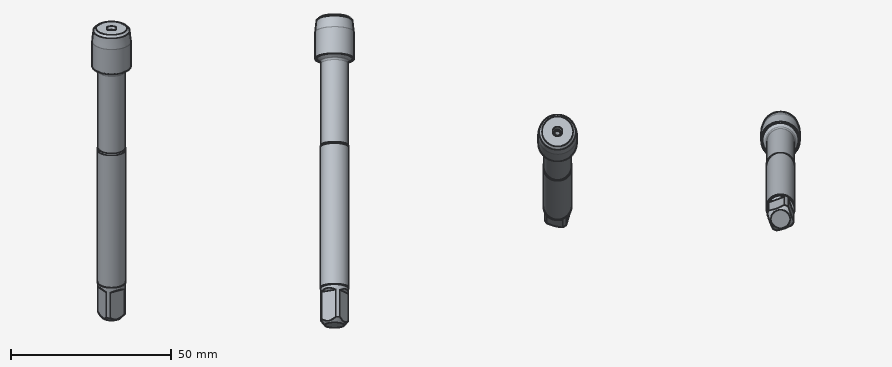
import cadquery as cq
import math

LENGTH = 100.0
HEAD_HEIGHT = 13.1
TAPER_HEIGHT = 4.4
TIP_CHAMFER_HEIGHT = 0.8
NECK_BOTTOM = 58.6
NECK_CONE_HEIGHT = 0.6
SHANK_BOTTOM = 12.2
SHANK_CONE_HEIGHT = 0.2
END_CHAMFER_HEIGHT = 1.5

HEAD_DIAMETER = 12.2
TAPER_DIAMETER = 11.4
TIP_DIAMETER = 9.7
NECK_DIAMETER = 8.6
SHANK_DIAMETER = 9.0
DRIVE_DIAMETER = 8.7
END_DIAMETER = 6.0

HEAD_CONE_HEIGHT = 0.8
NECK_FILLET = 0.9
HEAD_CONE_ANGLE = 50.0

SQUARE_WIDTH = 7.0
FLAT_LENGTH = 10.3
RUNOUT_HEIGHT = 0.7

HOLE_DIAMETER = 2.0
COUNTERSINK_DIAMETER = 3.1
COUNTERSINK_ANGLE = 60.0
HOLE_DEPTH = 3.0
DRILL_POINT_ANGLE = 120.0


def cone_height(large_diameter, small_diameter, angle):
    """Axial length of a cone with the given included angle in degrees."""
    return (large_diameter - small_diameter) / 2 / math.tan(math.radians(angle / 2))


def turned_body():
    """Revolved head, neck and shank with a cone under the head blended into the neck."""
    head_bottom = LENGTH - HEAD_HEIGHT
    neck_radius = NECK_DIAMETER / 2
    cone_angle = math.radians(HEAD_CONE_ANGLE)
    fillet_bottom = head_bottom - HEAD_CONE_HEIGHT - NECK_FILLET * math.sin(cone_angle)

    def fillet_point(angle):
        """Point on the neck fillet, turned by the angle from its tangent on the neck."""
        radius = neck_radius + NECK_FILLET * (1 - math.cos(angle))
        return radius, fillet_bottom + NECK_FILLET * math.sin(angle)

    fillet_top_radius, _ = fillet_point(cone_angle)
    cone_top_radius = fillet_top_radius + HEAD_CONE_HEIGHT * math.tan(cone_angle)
    profile = (
        cq.Workplane("XZ")
        .lineTo(END_DIAMETER / 2, 0)
        .lineTo(DRIVE_DIAMETER / 2, END_CHAMFER_HEIGHT)
        .lineTo(DRIVE_DIAMETER / 2, SHANK_BOTTOM - SHANK_CONE_HEIGHT)
        .lineTo(SHANK_DIAMETER / 2, SHANK_BOTTOM)
        .lineTo(SHANK_DIAMETER / 2, NECK_BOTTOM - NECK_CONE_HEIGHT)
        .lineTo(neck_radius, NECK_BOTTOM)
        .lineTo(neck_radius, fillet_bottom)
        .threePointArc(fillet_point(cone_angle / 2), fillet_point(cone_angle))
        .lineTo(cone_top_radius, head_bottom)
        .lineTo(HEAD_DIAMETER / 2, head_bottom)
        .lineTo(HEAD_DIAMETER / 2, LENGTH - TAPER_HEIGHT)
        .lineTo(TAPER_DIAMETER / 2, LENGTH - TIP_CHAMFER_HEIGHT)
        .lineTo(TIP_DIAMETER / 2, LENGTH)
        .lineTo(0, LENGTH)
        .close()
    )
    return profile.revolve(360, (0, 0), (0, 1))


def flat_cutter():
    """Cutter for one flat of the square, with a sloping run-out at its upper end."""
    flat = SQUARE_WIDTH / 2
    rim = DRIVE_DIAMETER / 2
    outside = SHANK_DIAMETER
    profile = (
        cq.Workplane("XZ")
        .moveTo(flat, 0)
        .lineTo(flat, FLAT_LENGTH)
        .lineTo(rim, FLAT_LENGTH + RUNOUT_HEIGHT)
        .lineTo(outside, FLAT_LENGTH + RUNOUT_HEIGHT)
        .lineTo(outside, 0)
        .close()
    )
    return profile.extrude(SHANK_DIAMETER, both=True)


def centre_hole():
    """Countersunk blind hole with a conical drill point."""
    sink_depth = cone_height(COUNTERSINK_DIAMETER, HOLE_DIAMETER, COUNTERSINK_ANGLE)
    point_depth = cone_height(HOLE_DIAMETER, 0, DRILL_POINT_ANGLE)
    profile = (
        cq.Workplane("XZ")
        .moveTo(0, LENGTH)
        .lineTo(COUNTERSINK_DIAMETER / 2, LENGTH)
        .lineTo(HOLE_DIAMETER / 2, LENGTH - sink_depth)
        .lineTo(HOLE_DIAMETER / 2, LENGTH - HOLE_DEPTH)
        .lineTo(0, LENGTH - HOLE_DEPTH - point_depth)
        .close()
    )
    return profile.revolve(360, (0, 0), (0, 1))


result = turned_body().cut(centre_hole())
for angle in (0, 90, 180, 270):
    result = result.cut(flat_cutter().rotate((0, 0, 0), (0, 0, 1), angle))